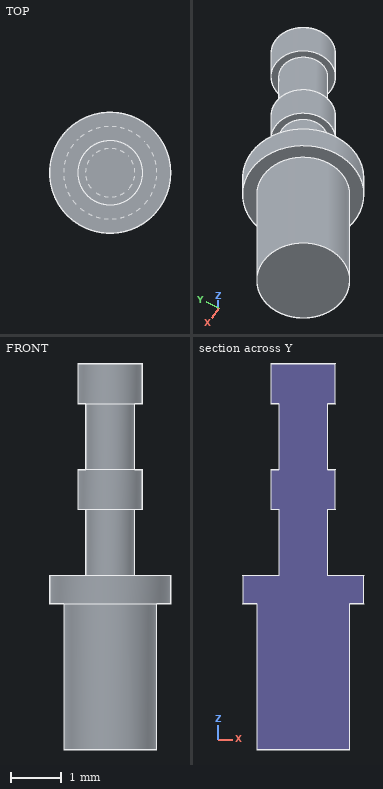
import cadquery as cq

thou = 0.0254

shank_diameter = 72 * thou
flange_diameter = 94 * thou
neck_diameter = 38 * thou
collar_diameter = 50 * thou

shank_length = 113 * thou
flange_thickness = 22 * thou
neck_length = 51 * thou
collar_length = 31 * thou

sections = [
    (shank_diameter, shank_length),
    (flange_diameter, flange_thickness),
    (neck_diameter, neck_length),
    (collar_diameter, collar_length),
    (neck_diameter, neck_length),
    (collar_diameter, collar_length),
]


def stepped_pin(steps, bottom):
    """Build a pin with each cylinder standing on the one below, from Z = bottom up."""
    pin = cq.Workplane("XY")
    base = bottom
    for diameter, length in steps:
        step = cq.Workplane("XY").workplane(offset=base).circle(diameter / 2).extrude(length)
        pin = pin.union(step)
        base += length
    return pin


result = stepped_pin(sections, -shank_length)